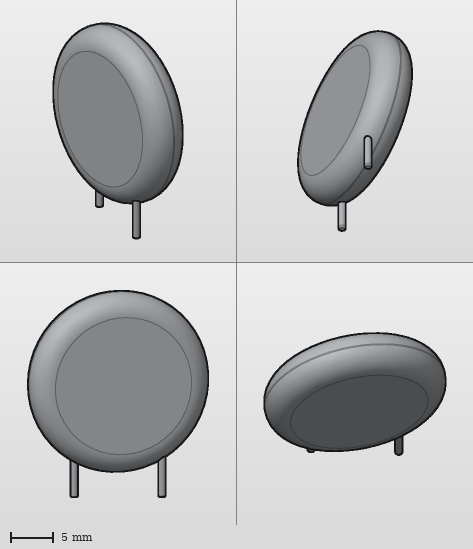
import cadquery as cq

body_diameter = 21.5
body_thickness = 5.3
rim_band_width = 0.13
rim_fillet = (body_thickness - rim_band_width) / 2
body_center_z = body_diameter / 2

lead_diameter = 0.9
lead_pitch = 10.0
lead_stagger = 2.2
lead_length_below_body = 3.03
lead_tip_fillet = 0.2
lead_top_z = body_center_z / 2


def make_body():
    """Disc with both rim edges rounded."""
    disc = (
        cq.Workplane("XZ")
        .circle(body_diameter / 2)
        .extrude(body_thickness / 2, both=True)
        .edges()
        .fillet(rim_fillet)
    )
    return disc.translate((0, 0, body_center_z))


def make_lead(x, y):
    """Round vertical lead with a rounded lower tip."""
    return (
        cq.Workplane("XY", origin=(x, y, -lead_length_below_body))
        .circle(lead_diameter / 2)
        .extrude(lead_length_below_body + lead_top_z)
        .faces("<Z")
        .edges()
        .fillet(lead_tip_fillet)
    )


result = make_body()
for side in (-1, 1):
    lead = make_lead(side * lead_pitch / 2, -side * lead_stagger / 2)
    result = result.union(lead)